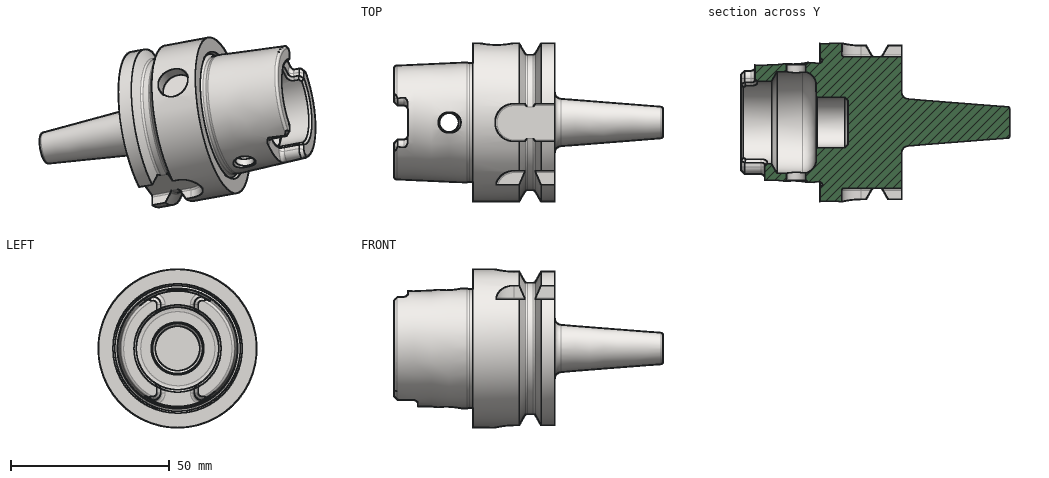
import cadquery as cq
import math


SHANK_END_X = -24.9
SHANK_END_RADIUS = 17.95
SHANK_GAUGE_RADIUS = 19.0
SHANK_GAUGE_X = -2.0
SHANK_END_ROUND = 0.9
RELIEF_X = -1.2
RELIEF_RADIUS = 18.8

RECESS_RADIUS = 20.4
RECESS_DEPTH = 0.8
RECESS_ROOT_FILLET = 1.0

FLANGE_RADIUS = 25.0
FLANGE_LENGTH = 25.9
GROOVE_CENTER_X = 18.05
GROOVE_MOUTH_WIDTH = 6.9
GROOVE_RADIUS = 21.4
GROOVE_FLANK_ANGLE = 30.0
GROOVE_ROOT_ROUND = 0.8

NOSE_END_X = 60.0
NOSE_ROOT_X = FLANGE_LENGTH + 2.0
NOSE_ROOT_RADIUS = 7.5
NOSE_TAPER_ANGLE = 4.5
NOSE_ROOT_FILLET = 2.0
NOSE_END_ROUND = 0.8

BORE_RADIUS = 13.0
BORE_RIM_CHAMFER = 0.75
UNDERCUT_START_X = -15.2
UNDERCUT_RADIUS = 16.0
UNDERCUT_FLANK_ANGLE = 60.0
BORE_FLOOR_X = -1.2
BORE_FLOOR_RADIUS = 11.7
PILOT_MOUTH_RADIUS = 8.3
PILOT_RADIUS = 7.9
PILOT_FLOOR_RADIUS = 7.0
PILOT_DEPTH = 10.0

SLOT_HALF_WIDTH = 5.3
SLOT_FLARE_Z = 13.9
SLOT_FLARE_RADIUS = 2.4
SLOT_END_BEVEL = 1.2
SLOT_FLOOR_FILLET = 1.3
UPPER_SLOT_DEPTH = 4.4
LOWER_SLOT_DEPTH = 7.5
SLOT_INNER_Z = 8.0
SLOT_OUTER_Z = 22.0
SLOT_OUTER_HALF_WIDTH = 12.0

CROSS_HOLE_X = -7.5
CROSS_HOLE_DIAMETER = 6.0
CROSS_HOLE_MOUTH_DIAMETER = 7.2

KEYWAY_HALF_WIDTH = 5.95
KEYWAY_END_X = 7.0
KEYWAY_FLOOR_Z = 20.8
KEYWAY_FLOOR_FILLET = 0.5
NOTCH_WALL_Y = -15.2
NOTCH_FLOOR_Z = 15.5
SIDE_HOLE_X = 7.5
SIDE_HOLE_DIAMETER = 10.0
SIDE_HOLE_DEPTH = 4.6

PICK_MARGIN = 0.1


def revolve_about_x(outline):
    return outline.close().revolve(360, (0, 0, 0), (1, 0, 0))


def edges_within(x_start, x_end, radius):
    """Select edges lying between two X stations and inside a square of the given half width."""
    return cq.selectors.BoxSelector(
        (x_start, -radius, -radius), (x_end, radius, radius), boundingbox=True
    )


def ring_selector(x, radius):
    """Select the circular edge of the given radius at one X station."""
    low_x = x - PICK_MARGIN
    high_x = x + PICK_MARGIN
    outside = edges_within(low_x, high_x, radius + PICK_MARGIN)
    inside = edges_within(low_x, high_x, radius - PICK_MARGIN)
    return outside - inside


def holder_body():
    groove_half_mouth = GROOVE_MOUTH_WIDTH / 2
    flank_run = (FLANGE_RADIUS - GROOVE_RADIUS) * math.tan(math.radians(GROOVE_FLANK_ANGLE))
    groove_half_root = groove_half_mouth - flank_run
    recess_arc_offset = RECESS_ROOT_FILLET * (1 - math.sqrt(0.5))
    nose_slope = math.tan(math.radians(NOSE_TAPER_ANGLE))
    nose_end_radius = NOSE_ROOT_RADIUS - (NOSE_END_X - NOSE_ROOT_X) * nose_slope
    nose_base_radius = NOSE_ROOT_RADIUS + (NOSE_ROOT_X - FLANGE_LENGTH) * nose_slope

    outline = (
        cq.Workplane("XY")
        .moveTo(SHANK_END_X, 0)
        .lineTo(SHANK_END_X, SHANK_END_RADIUS)
        .lineTo(SHANK_GAUGE_X, SHANK_GAUGE_RADIUS)
        .lineTo(RELIEF_X, RELIEF_RADIUS)
        .lineTo(RECESS_DEPTH - RECESS_ROOT_FILLET, RELIEF_RADIUS)
        .threePointArc(
            (RECESS_DEPTH - recess_arc_offset, RELIEF_RADIUS + recess_arc_offset),
            (RECESS_DEPTH, RELIEF_RADIUS + RECESS_ROOT_FILLET),
        )
        .lineTo(0, RECESS_RADIUS)
        .lineTo(0, FLANGE_RADIUS)
        .lineTo(GROOVE_CENTER_X - groove_half_mouth, FLANGE_RADIUS)
        .lineTo(GROOVE_CENTER_X - groove_half_root, GROOVE_RADIUS)
        .lineTo(GROOVE_CENTER_X + groove_half_root, GROOVE_RADIUS)
        .lineTo(GROOVE_CENTER_X + groove_half_mouth, FLANGE_RADIUS)
        .lineTo(FLANGE_LENGTH, FLANGE_RADIUS)
        .lineTo(FLANGE_LENGTH, nose_base_radius)
        .lineTo(NOSE_END_X, nose_end_radius)
        .lineTo(NOSE_END_X, 0)
    )
    body = revolve_about_x(outline)

    body = body.edges(ring_selector(SHANK_END_X, SHANK_END_RADIUS)).fillet(SHANK_END_ROUND)
    body = body.edges(ring_selector(NOSE_END_X, nose_end_radius)).fillet(NOSE_END_ROUND)
    body = body.edges(ring_selector(FLANGE_LENGTH, nose_base_radius)).fillet(NOSE_ROOT_FILLET)
    for side in (-1, 1):
        root_x = GROOVE_CENTER_X + side * groove_half_root
        body = body.edges(ring_selector(root_x, GROOVE_RADIUS)).fillet(GROOVE_ROOT_ROUND)
    return body


def clamping_bore():
    flank_run = (UNDERCUT_RADIUS - BORE_RADIUS) / math.tan(math.radians(UNDERCUT_FLANK_ANGLE))
    floor_round = UNDERCUT_RADIUS - BORE_FLOOR_RADIUS
    arc_mid_offset = floor_round * (1 - math.sqrt(0.5))
    pilot_floor_x = BORE_FLOOR_X + PILOT_DEPTH
    mouth_chamfer = PILOT_MOUTH_RADIUS - PILOT_RADIUS
    floor_chamfer = PILOT_RADIUS - PILOT_FLOOR_RADIUS
    outline = (
        cq.Workplane("XY")
        .moveTo(SHANK_END_X, 0)
        .lineTo(SHANK_END_X, BORE_RADIUS)
        .lineTo(UNDERCUT_START_X, BORE_RADIUS)
        .lineTo(UNDERCUT_START_X + flank_run, UNDERCUT_RADIUS)
        .lineTo(BORE_FLOOR_X - floor_round, UNDERCUT_RADIUS)
        .threePointArc(
            (BORE_FLOOR_X - arc_mid_offset, UNDERCUT_RADIUS - arc_mid_offset),
            (BORE_FLOOR_X, BORE_FLOOR_RADIUS),
        )
        .lineTo(BORE_FLOOR_X, PILOT_MOUTH_RADIUS)
        .lineTo(BORE_FLOOR_X + mouth_chamfer, PILOT_RADIUS)
        .lineTo(pilot_floor_x - floor_chamfer, PILOT_RADIUS)
        .lineTo(pilot_floor_x, PILOT_FLOOR_RADIUS)
        .lineTo(pilot_floor_x, 0)
    )
    return revolve_about_x(outline)


def slot_section(x, growth):
    """Flared slot section at X = x, with its walls moved outward by growth."""
    half_width = SLOT_HALF_WIDTH + growth
    flare = SLOT_FLARE_RADIUS - growth
    flare_center_y = half_width + flare
    flare_top_z = SLOT_FLARE_Z + flare
    mid_y = flare_center_y - flare * math.sqrt(0.5)
    mid_z = SLOT_FLARE_Z + flare * math.sqrt(0.5)
    return (
        cq.Workplane("YZ", origin=(x, 0, 0))
        .moveTo(-half_width, SLOT_INNER_Z)
        .lineTo(half_width, SLOT_INNER_Z)
        .lineTo(half_width, SLOT_FLARE_Z)
        .threePointArc((mid_y, mid_z), (flare_center_y, flare_top_z))
        .lineTo(SLOT_OUTER_HALF_WIDTH, flare_top_z)
        .lineTo(SLOT_OUTER_HALF_WIDTH, SLOT_OUTER_Z)
        .lineTo(-SLOT_OUTER_HALF_WIDTH, SLOT_OUTER_Z)
        .lineTo(-SLOT_OUTER_HALF_WIDTH, flare_top_z)
        .lineTo(-flare_center_y, flare_top_z)
        .threePointArc((-mid_y, mid_z), (-half_width, SLOT_FLARE_Z))
        .close()
    )


def drive_slot(depth):
    floor_x = SHANK_END_X + depth
    wall_edges = cq.selectors.BoxSelector(
        (floor_x - PICK_MARGIN, -SLOT_OUTER_HALF_WIDTH + PICK_MARGIN, SLOT_INNER_Z + PICK_MARGIN),
        (floor_x + PICK_MARGIN, SLOT_OUTER_HALF_WIDTH - PICK_MARGIN, SLOT_OUTER_Z - PICK_MARGIN),
    )
    channel = slot_section(SHANK_END_X, 0).extrude(depth)
    channel = channel.edges(wall_edges).fillet(SLOT_FLOOR_FILLET)
    outer_wire = slot_section(SHANK_END_X, SLOT_END_BEVEL).val()
    inner_wire = slot_section(SHANK_END_X + SLOT_END_BEVEL, 0).val()
    bevel = cq.Workplane(cq.Solid.makeLoft([outer_wire, inner_wire], True))
    return channel.union(bevel)


def chamfer_bore_rim(body):
    """Chamfer the stepped rim where the bore meets the shank end and the drive slots."""
    deepest_rim_x = SHANK_END_X + LOWER_SLOT_DEPTH + PICK_MARGIN
    rim_zone = edges_within(SHANK_END_X - PICK_MARGIN, deepest_rim_x, BORE_RADIUS + PICK_MARGIN)
    return body.edges(rim_zone).chamfer(BORE_RIM_CHAMFER)


def cross_hole():
    hole = (
        cq.Workplane("XY", origin=(CROSS_HOLE_X, 0, -FLANGE_RADIUS))
        .circle(CROSS_HOLE_DIAMETER / 2)
        .extrude(2 * FLANGE_RADIUS)
    )
    taper_slope = (SHANK_GAUGE_RADIUS - SHANK_END_RADIUS) / (SHANK_GAUGE_X - SHANK_END_X)
    surface_radius = SHANK_GAUGE_RADIUS - (SHANK_GAUGE_X - CROSS_HOLE_X) * taper_slope
    mouth = CROSS_HOLE_MOUTH_DIAMETER / 2
    chamfer = mouth - CROSS_HOLE_DIAMETER / 2
    for side in (-1, 1):
        cone = cq.Solid.makeCone(
            CROSS_HOLE_DIAMETER / 2,
            mouth + chamfer,
            2 * chamfer,
            cq.Vector(CROSS_HOLE_X, 0, side * (surface_radius - chamfer)),
            cq.Vector(0, 0, side),
        )
        hole = hole.union(cq.Workplane(cone))
    return hole


def round_ended_pocket(center_y, floor_z):
    """Keyway cut from above: round end toward the shank, open through the front of the flange."""
    arc_center_x = KEYWAY_END_X + KEYWAY_HALF_WIDTH
    pocket = (
        cq.Workplane("XY", origin=(0, 0, floor_z))
        .moveTo(arc_center_x, center_y - KEYWAY_HALF_WIDTH)
        .lineTo(FLANGE_LENGTH, center_y - KEYWAY_HALF_WIDTH)
        .lineTo(FLANGE_LENGTH, center_y + KEYWAY_HALF_WIDTH)
        .lineTo(arc_center_x, center_y + KEYWAY_HALF_WIDTH)
        .threePointArc((KEYWAY_END_X, center_y), (arc_center_x, center_y - KEYWAY_HALF_WIDTH))
        .close()
        .extrude(FLANGE_RADIUS - floor_z)
    )
    return pocket.faces("<Z").edges("not >X").fillet(KEYWAY_FLOOR_FILLET)


def side_hole():
    return (
        cq.Workplane("XZ", origin=(SIDE_HOLE_X, FLANGE_RADIUS, 0))
        .circle(SIDE_HOLE_DIAMETER / 2)
        .extrude(SIDE_HOLE_DEPTH)
    )


def turned_over(shape):
    return shape.rotate((0, 0, 0), (1, 0, 0), 180)


keyway = round_ended_pocket(0, KEYWAY_FLOOR_Z)
corner_notch = round_ended_pocket(NOTCH_WALL_Y - KEYWAY_HALF_WIDTH, NOTCH_FLOOR_Z)

result = holder_body().cut(clamping_bore())
result = result.cut(drive_slot(UPPER_SLOT_DEPTH))
result = result.cut(turned_over(drive_slot(LOWER_SLOT_DEPTH)))
result = chamfer_bore_rim(result)
result = result.cut(cross_hole())
result = result.cut(keyway).cut(turned_over(keyway)).cut(corner_notch)
result = result.cut(side_hole())